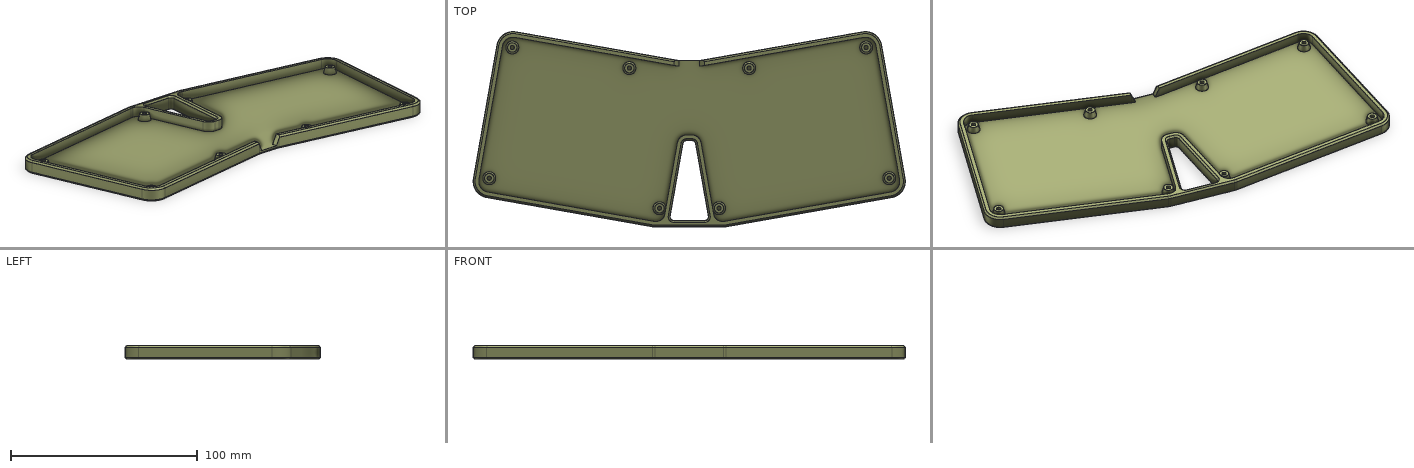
import cadquery as cq
import math

TOTAL_WIDTH = 231.1
TOTAL_DEPTH = 104.5
TOTAL_HEIGHT = 7.5

SWEEP_ANGLE = math.radians(10)
CORNER_RADIUS = 8.8
FRONT_FLAT_HALF = 19.0
REAR_FLAT_HALF = 6.5
WALL = 3.0
FLOOR = 2.0
EDGE_CHAMFER = 1.0
POCKET_JOINT_RADIUS = 4.6

WINDOW_FRONT_HALF = 10.6
WINDOW_FRONT_Y = 3.5
WINDOW_REAR_Y = 46.2
WINDOW_CORNER_RADIUS = 2.0

NOTCH_BOTTOM_HALF = 5.5
NOTCH_TOP_HALF = 8.0
NOTCH_DEPTH = 3 * WALL

BOSS_BASE_DIAMETER = 7.0
BOSS_TOP_DIAMETER = 5.0
BOSS_HOLE_DIAMETER = 2.2
BOSS_HEIGHT = 3.5
BOSS_SIDE_INSET = 8.3
BOSS_REAR_INSET = 8.5
BOSS_FRONT_INSET = 10.5
BOSS_REAR_SPACING = 63.5
BOSS_FRONT_SPACING = 92.5

SIN = math.sin(SWEEP_ANGLE)
COS = math.cos(SWEEP_ANGLE)
TAN = math.tan(SWEEP_ANGLE)

CORNER_LOSS = CORNER_RADIUS * (SIN + COS - 1)

FRONT_CORNER_X = -TOTAL_WIDTH / 2 - CORNER_LOSS
FRONT_CORNER_Y = (-FRONT_FLAT_HALF - FRONT_CORNER_X) * TAN
REAR_CORNER_Y = TOTAL_DEPTH + CORNER_LOSS
REAR_CORNER_X = FRONT_CORNER_X + (REAR_CORNER_Y - FRONT_CORNER_Y) * TAN
REAR_FLAT_Y = REAR_CORNER_Y - (-REAR_FLAT_HALF - REAR_CORNER_X) * TAN

WINDOW_REAR_HALF = WINDOW_FRONT_HALF - (WINDOW_REAR_Y - WINDOW_FRONT_Y) * TAN


def prism(left_points, height):
    """Upright prism on a left-hand chain of points and its mirror image about x = 0."""
    right_points = [(-x, y) for x, y in reversed(left_points)]
    return cq.Workplane("XY").polyline(left_points + right_points).close().extrude(height)


def make_outer_block():
    block = prism(
        [
            (-FRONT_FLAT_HALF, 0),
            (FRONT_CORNER_X, FRONT_CORNER_Y),
            (REAR_CORNER_X, REAR_CORNER_Y),
            (-REAR_FLAT_HALF, REAR_FLAT_Y),
        ],
        TOTAL_HEIGHT,
    )
    return block.edges("|Z").fillet(CORNER_RADIUS)


def make_window():
    window = prism(
        [(-WINDOW_FRONT_HALF, WINDOW_FRONT_Y), (-WINDOW_REAR_HALF, WINDOW_REAR_Y)],
        TOTAL_HEIGHT,
    )
    return window.edges("|Z").fillet(WINDOW_CORNER_RADIUS)


def offset_prism(body, distance, height):
    """Prism on the bottom outline of a body, moved outward by the distance."""
    outline = body.faces("<Z").wires().val()
    return cq.Workplane("XY").add(outline).toPending().offset2D(distance).extrude(height)


def make_pocket(block, window):
    """Hollow above the floor, inside the rim and around the wall of the window."""
    depth = TOTAL_HEIGHT - FLOOR
    hollow = offset_prism(block, -WALL, depth)
    window_wall = offset_prism(window, WALL, depth)
    pocket = hollow.cut(window_wall)
    joints = cq.selectors.BoxSelector(
        (-FRONT_FLAT_HALF, 0, 0), (FRONT_FLAT_HALF, WINDOW_FRONT_Y + WALL, depth)
    )
    pocket = pocket.edges("|Z").edges(joints).fillet(POCKET_JOINT_RADIUS)
    return pocket.translate((0, 0, FLOOR))


def make_notch():
    """Trapezoid that opens the rear wall down to the floor."""
    return (
        cq.Workplane("XZ", origin=(0, REAR_FLAT_Y + WALL, 0))
        .polyline([
            (-NOTCH_BOTTOM_HALF, FLOOR),
            (-NOTCH_TOP_HALF, TOTAL_HEIGHT),
            (NOTCH_TOP_HALF, TOTAL_HEIGHT),
            (NOTCH_BOTTOM_HALF, FLOOR),
        ])
        .close()
        .extrude(NOTCH_DEPTH)
    )


def wing_point(corner, along, back):
    """Point at a distance along the wing and toward the rear from a corner of the left wing."""
    x, y = corner
    return (x + along * COS + back * SIN, y - along * SIN + back * COS)


def boss_centres():
    front_corner = (FRONT_CORNER_X, FRONT_CORNER_Y)
    rear_corner = (REAR_CORNER_X, REAR_CORNER_Y)
    left = [
        wing_point(front_corner, BOSS_SIDE_INSET, BOSS_FRONT_INSET),
        wing_point(front_corner, BOSS_SIDE_INSET + BOSS_FRONT_SPACING, BOSS_FRONT_INSET),
        wing_point(rear_corner, BOSS_SIDE_INSET, -BOSS_REAR_INSET),
        wing_point(rear_corner, BOSS_SIDE_INSET + BOSS_REAR_SPACING, -BOSS_REAR_INSET),
    ]
    return left + [(-x, y) for x, y in left]


def make_boss():
    base_radius = BOSS_BASE_DIAMETER / 2
    top_radius = BOSS_TOP_DIAMETER / 2
    hole_radius = BOSS_HOLE_DIAMETER / 2
    profile = [
        (hole_radius, 0),
        (base_radius, 0),
        (top_radius, BOSS_HEIGHT),
        (hole_radius, BOSS_HEIGHT),
    ]
    ring = cq.Workplane("XZ").polyline(profile).close().revolve(360, (0, 0, 0), (0, 1, 0))
    return ring.translate((0, 0, FLOOR))


outer_block = make_outer_block()
window = make_window()
result = outer_block.faces("<Z or >Z").edges().chamfer(EDGE_CHAMFER)
result = result.cut(window)

window_rim = cq.selectors.BoxSelector(
    (-WINDOW_FRONT_HALF, WINDOW_FRONT_Y / 2, 0),
    (WINDOW_FRONT_HALF, WINDOW_REAR_Y + WALL, 2 * TOTAL_HEIGHT),
)
result = result.faces(">Z").edges(window_rim).chamfer(EDGE_CHAMFER)

result = result.cut(make_pocket(outer_block, window))
result = result.cut(make_notch())

boss = make_boss()
for x, y in boss_centres():
    result = result.union(boss.translate((x, y, 0)))